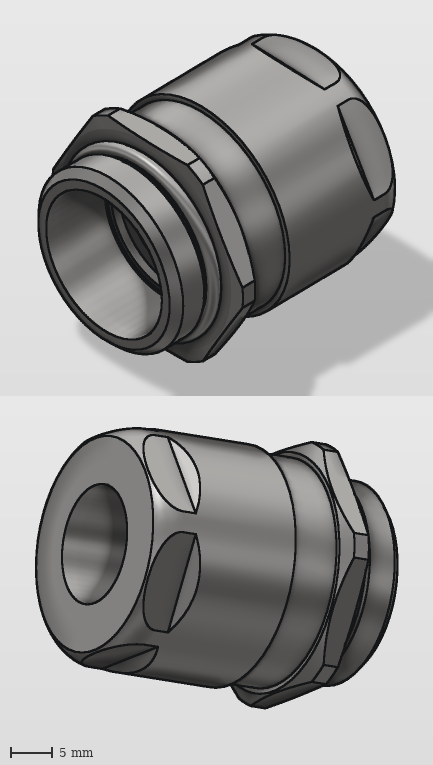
import cadquery as cq
import math

LENGTH = 36.1

THREAD_RADIUS = 25.0 / 2
THREAD_CHAMFER = 1.15
THREAD_END = 4.7
NECK_RADIUS = 22.9 / 2

SEAL_RADIUS = 26.82 / 2
SEAL_CENTER = 6.3
SEAL_SECTION_RADIUS = 0.9

HEX_ACROSS_FLATS = 29.9
HEX_ACROSS_CORNERS = 32.9
HEX_START = 7.1
HEX_END = 10.47
HEX_FACE_RADIUS = 14.73
HEX_FRONT_CHAMFER = 0.25
HEX_BACK_CHAMFER = 1.05

BODY_RADIUS = 28.15 / 2

NUT_RADIUS = 29.7 / 2
NUT_START = 16.8
NUT_ROUND_START = 32.85
NUT_ROUND_RADIUS = 4.0
NUT_ACROSS_FLATS = 26.93
NUT_FLAT_START = 31.05

ENTRY_RADIUS = 20.0 / 2
ENTRY_DEPTH = 9.9
LEDGE_RADIUS = 19.55 / 2
LEDGE_DEPTH = 10.1
CHAMBER_RADIUS = 18.3 / 2
CHAMBER_DEPTH = 11.4
PASSAGE_RADIUS = 14.65 / 2


def revolve_about_y(profile):
    """Turn a closed (radius, Y) profile about the Y axis."""
    return profile.close().revolve(360, (0, 0, 0), (0, 1, 0))


def cylinder(radius, start, end):
    """Round bar along Y between two stations."""
    profile = cq.Workplane("XY").moveTo(0, start).lineTo(radius, start).lineTo(radius, end).lineTo(0, end)
    return revolve_about_y(profile)


def hexagon(across_flats, start, end):
    """Hexagonal bar along Y with corners on the X axis."""
    across_points = across_flats / math.cos(math.pi / 6)
    plane = cq.Workplane("XZ", origin=(0, start, 0))
    return plane.polygon(6, across_points).extrude(-(end - start))


def make_spigot():
    relief = THREAD_RADIUS - NECK_RADIUS
    profile = (
        cq.Workplane("XY")
        .lineTo(THREAD_RADIUS - THREAD_CHAMFER, 0)
        .lineTo(THREAD_RADIUS, THREAD_CHAMFER)
        .lineTo(THREAD_RADIUS, THREAD_END)
        .lineTo(NECK_RADIUS, THREAD_END + relief)
        .lineTo(NECK_RADIUS, HEX_START)
        .lineTo(0, HEX_START)
    )
    return revolve_about_y(profile)


def make_seal():
    """Round-section ring bedded into the flange, with no gap behind it."""
    ring_radius = SEAL_RADIUS - SEAL_SECTION_RADIUS
    section = cq.Workplane("XY").center(ring_radius, SEAL_CENTER).circle(SEAL_SECTION_RADIUS)
    ring = section.revolve(360, (-ring_radius, 0, 0), (-ring_radius, 1, 0))
    return ring.union(cylinder(ring_radius, SEAL_CENTER, HEX_START))


def make_flange():
    corner_radius = HEX_ACROSS_CORNERS / 2
    profile = (
        cq.Workplane("XY")
        .moveTo(0, HEX_START)
        .lineTo(HEX_FACE_RADIUS, HEX_START)
        .lineTo(corner_radius, HEX_START + HEX_FRONT_CHAMFER)
        .lineTo(corner_radius, HEX_END - HEX_BACK_CHAMFER)
        .lineTo(HEX_FACE_RADIUS, HEX_END)
        .lineTo(0, HEX_END)
    )
    return revolve_about_y(profile).intersect(hexagon(HEX_ACROSS_FLATS, HEX_START, HEX_END))


def make_nut():
    def round_point(height):
        """Point on the nut's rounded shoulder at a height above its start."""
        inset = NUT_ROUND_RADIUS - math.sqrt(NUT_ROUND_RADIUS**2 - height**2)
        return (NUT_RADIUS - inset, NUT_ROUND_START + height)

    round_height = LENGTH - NUT_ROUND_START
    profile = (
        cq.Workplane("XY")
        .moveTo(0, NUT_START)
        .lineTo(NUT_RADIUS, NUT_START)
        .lineTo(NUT_RADIUS, NUT_ROUND_START)
        .threePointArc(round_point(round_height / 2), round_point(round_height))
        .lineTo(0, LENGTH)
    )
    nut = revolve_about_y(profile)

    apothem = NUT_ACROSS_FLATS / 2
    ramp = NUT_RADIUS - apothem
    flat_cutter = (
        cq.Workplane("YZ")
        .moveTo(NUT_FLAT_START, apothem)
        .lineTo(LENGTH, apothem)
        .lineTo(LENGTH, NUT_RADIUS)
        .lineTo(NUT_FLAT_START - ramp, NUT_RADIUS)
        .close()
        .extrude(NUT_RADIUS, both=True)
    )
    for side in range(6):
        nut = nut.cut(flat_cutter.rotate((0, 0, 0), (0, 1, 0), 60 * side))
    return nut


def make_bore():
    bore = cylinder(PASSAGE_RADIUS, 0, LENGTH)
    for radius, depth in (
        (ENTRY_RADIUS, ENTRY_DEPTH),
        (LEDGE_RADIUS, LEDGE_DEPTH),
        (CHAMBER_RADIUS, CHAMBER_DEPTH),
    ):
        bore = bore.union(cylinder(radius, 0, depth))
    return bore


body = cylinder(BODY_RADIUS, HEX_END, NUT_START)
outside = make_spigot().union(make_seal()).union(make_flange()).union(body).union(make_nut())
result = outside.cut(make_bore())